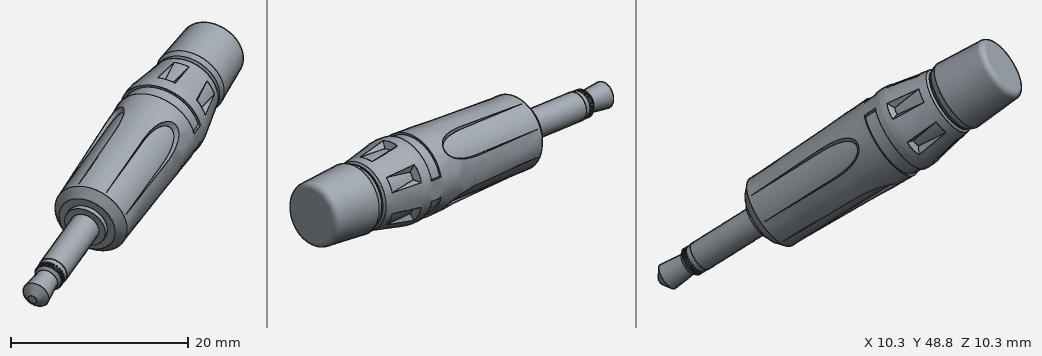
import cadquery as cq
import math

length = 48.8
rear = length / 2
tip = -length / 2

knob_end_radius = 3.2
knob_rear_radius = 3.85
knob_round = 0.8
knob_front_radius = 4.25
knob_taper_end = rear - 6.6
knob_nose = rear - 7.25
knob_nose_radius = 4.0
neck_radius = 3.65
neck_y = rear - 7.6

collar_rear_radius = 4.1
collar_chamfer = 0.25
collar_front = rear - 12.95
collar_front_radius = 5.08
ring_peak = rear - 13.65
ring_peak_diameter = 10.3
ring_peak_radius = ring_peak_diameter / 2
ring_front = rear - 14.45

grip_rear = rear - 16.05
grip_front = rear - 32.7
grip_front_radius = 4.5
rim_front = rear - 33.15
nose_front = rear - 34.15
nose_diameter = 7.0
nose_radius = nose_diameter / 2

flange_front = rear - 34.75
flange_radius = 2.55
pin_radius = 1.75
pin_front = rear - 43.3
band_radius = 1.7
crown_rear = rear - 43.9
crown_front = rear - 44.5
throat_y = rear - 44.95
throat_radius = 1.3
point_y = rear - 47.85
point_radius = 1.6
tip_radius = 0.55

groove_radius = 4.85
tab_half_width = 1.25

window_count = 6
window_rear = rear - 8.9
window_floor_radius = 4.3
window_floor_front = rear - 12.5
window_rear_half_width = 1.02
window_front_half_width = 0.5
window_side_flare = 0.75

flute_count = 4
flute_half_width = 1.7
flute_floor_tip = rear - 18.75
flute_arch_length = 4.0
flute_wall_angle = 40

notch_count = 26
notch_width = 0.2
notch_depth = 0.15

cut_margin = 1.0


def turned_body():
    """Solid of revolution of the whole plug, without groove and recesses."""
    profile = (
        cq.Workplane("XY")
        .moveTo(0, rear)
        .lineTo(knob_end_radius, rear)
        .radiusArc((knob_rear_radius, rear - knob_round), knob_round)
        .lineTo(knob_front_radius, knob_taper_end)
        .lineTo(knob_nose_radius, knob_nose)
        .lineTo(neck_radius, neck_y)
        .lineTo(collar_rear_radius - collar_chamfer, neck_y)
        .lineTo(collar_rear_radius, neck_y - collar_chamfer)
        .lineTo(collar_front_radius, collar_front)
        .lineTo(ring_peak_radius, ring_peak)
        .lineTo(grip_front_radius, grip_front)
        .lineTo(grip_front_radius, rim_front)
        .lineTo(nose_radius, nose_front)
        .lineTo(flange_radius, nose_front)
        .lineTo(flange_radius, flange_front)
        .lineTo(pin_radius, flange_front)
        .lineTo(pin_radius, pin_front)
        .lineTo(band_radius, pin_front)
        .lineTo(band_radius, crown_front)
        .lineTo(throat_radius, throat_y)
        .lineTo(point_radius, point_y)
        .lineTo(tip_radius, tip)
        .lineTo(0, tip)
        .close()
    )
    return profile.revolve(360, (0, 0, 0), (0, 1, 0))


def cylinder_between(radius, y_rear, y_front):
    """Cylinder about the Y axis."""
    return cq.Workplane("XZ", origin=(0, y_front, 0)).circle(radius).extrude(y_front - y_rear)


def around_axis(cutter, count, first_angle=0.0):
    """Copies of a cutter spread evenly about the Y axis."""
    step = 360 / count
    return [cutter.rotate((0, 0, 0), (0, 1, 0), first_angle + i * step).val() for i in range(count)]


def groove():
    """Shallow ring groove, interrupted by the tabs at +X and -X."""
    outer = cylinder_between(ring_peak_radius + cut_margin, ring_front, grip_rear)
    inner = cylinder_between(groove_radius, ring_front, grip_rear)
    tab_length = 2 * (ring_peak_radius + 2 * cut_margin)
    tabs = cq.Workplane("XY").box(tab_length, ring_front - grip_rear, 2 * tab_half_width)
    tabs = tabs.translate((0, (ring_front + grip_rear) / 2, 0))
    return outer.cut(inner).cut(tabs)


def window():
    """Cutter on +Z: narrows toward the front and flares outward from a cylindrical floor."""
    depth = collar_front_radius - window_floor_radius
    front_flare = window_floor_front - collar_front

    def section(workplane, rise):
        """Trapezoid of the cutter at a height above the floor crown."""
        side = window_side_flare * rise / depth
        rear_half = window_rear_half_width + side
        front_half = window_front_half_width + side
        front = window_floor_front - front_flare * rise / depth
        corners = [
            (-rear_half, window_rear),
            (rear_half, window_rear),
            (front_half, front),
            (-front_half, front),
        ]
        return workplane.polyline(corners).close()

    floor_edge_height = math.sqrt(window_floor_radius**2 - window_rear_half_width**2)
    lower_rise = floor_edge_height - window_floor_radius
    upper_rise = 2 * depth
    lower = section(cq.Workplane("XY", origin=(0, 0, floor_edge_height)), lower_rise)
    cutter = section(lower.workplane(offset=upper_rise - lower_rise), upper_rise).loft(ruled=True)
    return cutter.cut(cylinder_between(window_floor_radius, rear, tip))


def flute():
    """Cutter on +Z: arched at the rear, flaring outward from a cylindrical floor."""
    floor_edge_height = math.sqrt(grip_front_radius**2 - flute_half_width**2)
    cutter = (
        cq.Workplane("XY", origin=(0, 0, floor_edge_height))
        .moveTo(-flute_half_width, grip_front)
        .lineTo(flute_half_width, grip_front)
        .lineTo(flute_half_width, flute_floor_tip - flute_arch_length)
        .ellipseArc(flute_half_width, flute_arch_length, 0, 180, startAtCurrent=True)
        .close()
        .extrude(ring_peak_radius - floor_edge_height + cut_margin, taper=-flute_wall_angle)
    )
    cutter = cutter.intersect(cylinder_between(2 * ring_peak_radius, rear, grip_front))
    return cutter.cut(cylinder_between(grip_front_radius, rear, tip))


def crown_notch():
    """Cutter on +Z for one notch of the crown."""
    notch = cq.Workplane("XY").box(notch_width, crown_rear - crown_front, 2 * notch_depth)
    return notch.translate((0, (crown_rear + crown_front) / 2, band_radius))


plug = turned_body().cut(groove()).val()
plug = plug.cut(*around_axis(window(), window_count))
plug = plug.cut(*around_axis(flute(), flute_count, 180 / flute_count))
plug = plug.cut(*around_axis(crown_notch(), notch_count))

result = cq.Workplane(plug)